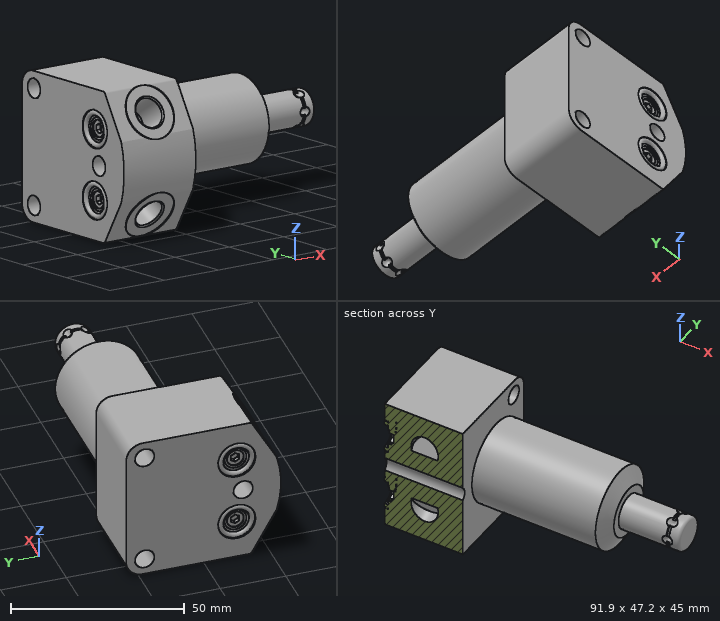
import cadquery as cq
import math


total_length = 91.9
block_height = 45.0
block_top_y = 15.3
block_nose_radius = 31.9

seal_protrusion = 0.3
block_end = 26.7
nose_half_height = 9.0
flank_angle = math.radians(30)
back_corner_radius = 5.0
flank_corner_radius = 1.0

mount_hole_diameter = 5.9
mount_hole_places = [(9.7, 17.4), (9.7, -17.4), (-20.3, 0)]

body_radius = 13.4
shoulder_radius = 8.2
plunger_radius = 5.6
joint_overlap = 0.9
body_end = 68.45
shoulder_end = 71.5
plunger_tip_radius = 1.1
ball_groove_x = 87.9
ball_groove_width = 0.9
ball_groove_depth = 0.55
ball_dimple_diameter = 3.4
ball_dimple_depth = 1.6
ball_dimple_count = 6

port_x = 13.8
port_z = 15.25
port_spot_radius = 8.3
port_spot_depth = 0.3
port_radius = 4.5
port_chamfer = 0.5
port_clearance = 1.8
port_depth = 10.4

plug_y = -18.4
plug_z = 10.6
seal_outer_radius = 5.7
seal_inner_radius = 3.95
plug_face_depth = 1.4
plug_step_radius = 3.3
plug_step_depth = 1.5
plug_well_radius = 2.6
plug_well_depth = 1.8
socket_sides = 6
socket_corner_radius = 1.5
socket_depth = 1.4


def flank_point(z):
    """Y of the upper sloping flank at height z."""
    nose_y = -math.sqrt(block_nose_radius**2 - nose_half_height**2)
    return nose_y + (z - nose_half_height) * math.tan(flank_angle)


def make_block():
    """Plate with a round nose, sloping flanks and three through holes."""
    half = block_height / 2
    block = (
        cq.Workplane("YZ", origin=(seal_protrusion, 0, 0))
        .moveTo(block_top_y, half)
        .lineTo(flank_point(half), half)
        .lineTo(flank_point(nose_half_height), nose_half_height)
        .threePointArc((-block_nose_radius, 0), (flank_point(nose_half_height), -nose_half_height))
        .lineTo(flank_point(half), -half)
        .lineTo(block_top_y, -half)
        .close()
        .extrude(block_end - seal_protrusion)
    )
    block = block.edges("|X and >Y").fillet(back_corner_radius)
    for face in (">Z", "<Z"):
        block = block.faces(face).edges("|X and <Y").fillet(flank_corner_radius)
    holes = (
        cq.Workplane("YZ").pushPoints(mount_hole_places).circle(mount_hole_diameter / 2).extrude(block_end)
    )
    return block.cut(holes)


def make_body_and_plunger():
    """Turned body, conical shoulder and grooved plunger as one solid."""
    groove_start = ball_groove_x - ball_groove_width / 2
    groove_end = ball_groove_x + ball_groove_width / 2
    groove_radius = plunger_radius - ball_groove_depth
    tip_mid = plunger_tip_radius * (1 - math.sqrt(0.5))
    profile = (
        cq.Workplane("XY")
        .moveTo(block_end - joint_overlap, 0)
        .lineTo(block_end - joint_overlap, body_radius)
        .lineTo(body_end, body_radius)
        .lineTo(shoulder_end, shoulder_radius)
        .lineTo(shoulder_end, plunger_radius)
        .lineTo(groove_start, plunger_radius)
        .lineTo(groove_start, groove_radius)
        .lineTo(groove_end, groove_radius)
        .lineTo(groove_end, plunger_radius)
        .lineTo(total_length - plunger_tip_radius, plunger_radius)
        .threePointArc(
            (total_length - tip_mid, plunger_radius - tip_mid),
            (total_length, plunger_radius - plunger_tip_radius),
        )
        .lineTo(total_length, 0)
        .close()
    )
    plunger = profile.revolve(360, (0, 0, 0), (1, 0, 0))
    for i in range(ball_dimple_count):
        dimple = cq.Workplane("XY").add(
            cq.Solid.makeCone(
                ball_dimple_diameter / 2,
                0,
                ball_dimple_depth,
                cq.Vector(ball_groove_x, -plunger_radius, 0),
                cq.Vector(0, 1, 0),
            )
        )
        dimple = dimple.rotate((0, 0, 0), (1, 0, 0), i * 360 / ball_dimple_count)
        plunger = plunger.cut(dimple)
    return plunger


def make_port_cutter(side):
    """Spotface, countersink and bore square to the upper (+1) or lower (-1) flank."""
    plane = cq.Plane(
        origin=(port_x, flank_point(port_z), side * port_z),
        xDir=(1, 0, 0),
        normal=(0, math.cos(flank_angle), -side * math.sin(flank_angle)),
    )
    spotface = cq.Workplane(plane).workplane(offset=-port_clearance).circle(port_spot_radius)
    spotface = spotface.extrude(port_clearance + port_spot_depth)
    floor = cq.Workplane(plane).workplane(offset=port_spot_depth)
    bore = floor.circle(port_radius).extrude(port_depth)
    chamfer = (
        floor.circle(port_radius + port_chamfer)
        .workplane(offset=port_chamfer)
        .circle(port_radius)
        .loft()
    )
    return spotface.union(bore).union(chamfer)


def cut_plug(part, z):
    """Recess a plug into the mounting face, with its seal ring around it."""
    face = cq.Workplane("YZ", origin=(0, plug_y, z))
    seal_wire_radius = (seal_outer_radius - seal_inner_radius) / 2
    seal_radius = (seal_outer_radius + seal_inner_radius) / 2
    recess = face.circle(seal_outer_radius).extrude(plug_face_depth)
    step = face.circle(plug_step_radius).extrude(plug_step_depth)
    well = face.circle(plug_well_radius).extrude(plug_well_depth)
    socket = face.polygon(socket_sides, 2 * socket_corner_radius).extrude(plug_well_depth + socket_depth)
    socket = socket.rotate((0, plug_y, z), (1, plug_y, z), 90)
    seal = cq.Workplane("XY").add(
        cq.Solid.makeTorus(
            seal_radius,
            seal_wire_radius,
            cq.Vector(seal_wire_radius, plug_y, z),
            cq.Vector(1, 0, 0),
        )
    )
    return part.cut(recess).cut(step).cut(well).cut(socket).union(seal)


result = make_block().union(make_body_and_plunger())
for side in (1, -1):
    result = result.cut(make_port_cutter(side))
    result = cut_plug(result, side * plug_z)